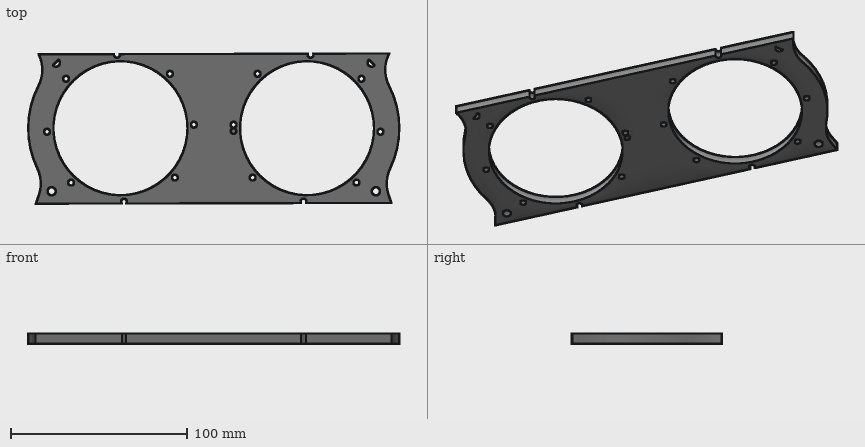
import cadquery as cq
import math

THICKNESS = 6.0
LOBE_PITCH = 106.0
LOBE_Y = 0.23
LOBE_RADIUS = 52.5
PLATE_WIDTH = 85.46
EDGE_RISE = 0.45

BLEND_RADIUS = 20.0
UPPER_BLEND_Y = 33.4
LOWER_BLEND_Y = -31.2

LIP_START_Y = -37.7

OPENING_DIAMETER = 76.0
SCREW_DIAMETER = 3.24
SCREW_CIRCLE_RADIUS = 41.75
SCREW_COUNT = 8
SCREW_TURN = 2.75

CORNER_DIAMETER = 4.5
LOWER_CORNER_X = 92.1
LOWER_CORNER_Y = -35.6
UPPER_CORNER_X = 89.7
UPPER_CORNER_Y = 37.5

PLUG_DIAMETER = SCREW_DIAMETER
PLUG_X = 11.25
PLUG_Y = -1.4

LOBE_X = LOBE_PITCH / 2
EDGE_MIDDLE_Y = (PLATE_WIDTH - EDGE_RISE) / 2


def corner_y(end, edge):
    """Height of the corner on end -1 or +1 in X, at long edge -1 or +1 in Y."""
    return edge * EDGE_MIDDLE_Y + end * EDGE_RISE / 2


def blend_center(blend_y):
    """Center of the concave arc on the +X end that is tangent to the rounded end."""
    rise = blend_y - LOBE_Y
    return LOBE_X + math.sqrt((LOBE_RADIUS + BLEND_RADIUS) ** 2 - rise**2), blend_y


def blend_start(center):
    """Point where a concave arc meets the rounded end."""
    share = LOBE_RADIUS / (LOBE_RADIUS + BLEND_RADIUS)
    return LOBE_X + (center[0] - LOBE_X) * share, LOBE_Y + (center[1] - LOBE_Y) * share


def blend_point(center, y):
    """Point of a concave arc at the given height."""
    return center[0] - math.sqrt(BLEND_RADIUS**2 - (y - center[1]) ** 2), y


def end_points(end):
    """Outline points of one end, from its lower corner to its upper corner."""
    upper_center = blend_center(UPPER_BLEND_Y)
    lower_center = blend_center(LOWER_BLEND_Y)
    lip_start = blend_point(lower_center, LIP_START_Y)
    lip_slope = (LIP_START_Y - lower_center[1]) / (lower_center[0] - lip_start[0])
    lip_drop = corner_y(end, -1) - LIP_START_Y
    points = [
        (lip_start[0] + lip_slope * lip_drop, corner_y(end, -1)),
        lip_start,
        blend_point(lower_center, LOWER_BLEND_Y),
        blend_start(lower_center),
        (LOBE_X + LOBE_RADIUS, LOBE_Y),
        blend_start(upper_center),
        blend_point(upper_center, UPPER_BLEND_Y),
        blend_point(upper_center, corner_y(end, 1)),
    ]
    return [(end * x, y) for x, y in points]


def plate_blank():
    right = end_points(1)
    left = end_points(-1)
    left.reverse()
    return (
        cq.Workplane("XY")
        .moveTo(*right[0])
        .lineTo(*right[1])
        .threePointArc(*right[2:4])
        .threePointArc(*right[4:6])
        .threePointArc(*right[6:8])
        .lineTo(*left[0])
        .threePointArc(*left[1:3])
        .threePointArc(*left[3:5])
        .threePointArc(*left[5:7])
        .lineTo(*left[7])
        .close()
        .extrude(THICKNESS)
    )


def cylinder(x, y, diameter):
    return cq.Workplane("XY").center(x, y).circle(diameter / 2).extrude(THICKNESS)


def screw_hole(side, index):
    """One hole of the ring; the ring on the -X side is the mirror image of the +X ring."""
    angle = math.radians(180 - SCREW_TURN + index * 360 / SCREW_COUNT)
    x = LOBE_X + SCREW_CIRCLE_RADIUS * math.cos(angle)
    y = LOBE_Y + SCREW_CIRCLE_RADIUS * math.sin(angle)
    return cylinder(side * x, y, SCREW_DIAMETER)


def half_round_hole(side):
    """Half of a round hole: its flat faces the outer corner at 45 degrees."""
    radius = CORNER_DIAMETER / 2
    reach = radius * math.sqrt(0.5)
    return (
        cq.Workplane("XY")
        .center(side * UPPER_CORNER_X, UPPER_CORNER_Y)
        .moveTo(-side * reach, reach)
        .threePointArc((-side * reach, -reach), (side * reach, -reach))
        .close()
        .extrude(THICKNESS)
    )


def make_plug():
    return cylinder(PLUG_X, PLUG_Y, PLUG_DIAMETER)


def make_plate():
    plate = plate_blank()
    for side in (-1, 1):
        plate = plate.cut(cylinder(side * LOBE_X, LOBE_Y, OPENING_DIAMETER))
        for index in range(SCREW_COUNT):
            plate = plate.cut(screw_hole(side, index))
        plate = plate.cut(cylinder(side * LOWER_CORNER_X, LOWER_CORNER_Y, CORNER_DIAMETER))
        plate = plate.cut(half_round_hole(side))
    return plate.cut(make_plug())


plate = make_plate()
plug = make_plug()
result = cq.Compound.makeCompound([plate.val(), plug.val()])